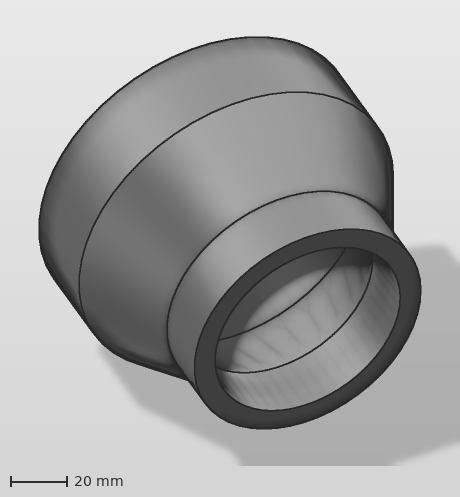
import cadquery as cq

large_diameter = 125.0
large_bore = 102.2
small_diameter = 90.0
small_bore = 73.6

large_length = 32.0
small_length = 22.0
total_length = 89.0
taper_end = total_length - small_length


def stepped_solid(large_dia, small_dia):
    """Cylinder, cone and smaller cylinder in a row, revolved about the X axis."""
    return (
        cq.Workplane("XY")
        .moveTo(0, 0)
        .lineTo(0, large_dia / 2)
        .lineTo(large_length, large_dia / 2)
        .lineTo(taper_end, small_dia / 2)
        .lineTo(total_length, small_dia / 2)
        .lineTo(total_length, 0)
        .close()
        .revolve(360, (0, 0, 0), (1, 0, 0))
    )


outer_body = stepped_solid(large_diameter, small_diameter)
flow_passage = stepped_solid(large_bore, small_bore)

result = outer_body.cut(flow_passage)